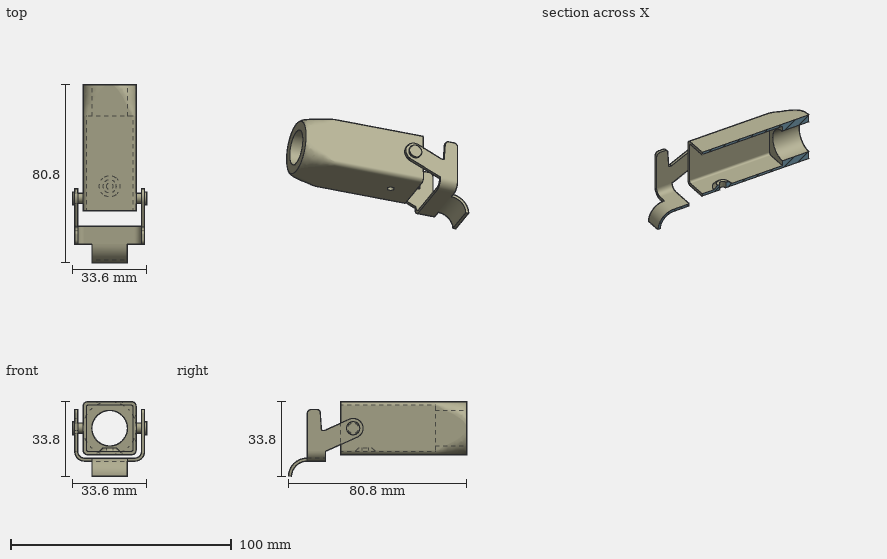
import cadquery as cq
import math

housing_length = 57.1
housing_side = 24.1
housing_corner_radius = 2.1
wall = 1.45
cavity_corner_radius = 1.1
taper_length = 14.2
cable_hole_diameter = 16.0
end_flat = 0.1
ridge_height = 0.8
taper_steps = 6

boss_distance = 11.15
boss_base_diameter = 9.5
boss_top_diameter = 6.0
boss_height = 1.7
screw_hole_diameter = 3.1

pin_distance = 5.65
pin_diameter = 4.8
pin_head_diameter = 6.0
pin_span = 33.6

sheet = 1.45
lever_width = 31.7
lever_bottom = -14.95
bend_inner_radius = 3.0
lever_front = -15.2
bridge_length = 8.3
eye_radius = 4.45
arm_underside_end = -10.5
notch_floor = -1.0
notch_corner = -8.65
notch_rear = -7.3
notch_radius = 0.5
finger_top = 8.6
finger_top_rear = -9.3
finger_front_radius = 2.0
finger_rear_radius = 1.6
hook_width = 16.0
hook_reach = 8.5
hook_sweep = 88

housing_half = housing_side / 2
widest_flat = housing_half - housing_corner_radius
taper_start = housing_length - taper_length
lever_half = lever_width / 2
bridge_rear = lever_front + bridge_length
bridge_top = lever_bottom + sheet
hook_outer_radius = hook_reach / math.sin(math.radians(hook_sweep))


def y_plane(y):
    """Plane facing +Y at the given Y, with local x = -X and local y = Z."""
    return cq.Plane(origin=(0, y, 0), xDir=(-1, 0, 0), normal=(0, 1, 0))


def x_cylinder(diameter, x_start, length):
    """Cylinder along X on the pivot axis."""
    plane = cq.Plane(origin=(x_start, pin_distance, 0), xDir=(0, 1, 0), normal=(1, 0, 0))
    return cq.Workplane(plane).circle(diameter / 2).extrude(length)


def square_bar(side, corner_radius, length):
    """Rounded square bar from the mouth towards +Y."""
    bar = cq.Workplane(y_plane(0)).rect(side, side).extrude(length)
    return bar.edges("|Y").fillet(corner_radius)


def quarter_turned(u, v, turns):
    """Point (u, v) turned clockwise about the origin by a number of quarter turns."""
    for _ in range(turns):
        u, v = v, -u
    return (u, v)


def taper_section(flat):
    """Rounded square with flats of the given half width, placed where the taper has that width."""
    widening = math.hypot(housing_half, flat) - math.hypot(housing_half, end_flat)
    full_widening = math.hypot(housing_half, widest_flat) - math.hypot(housing_half, end_flat)
    y = housing_length - taper_length * widening / full_widening

    arc_middle = flat + (housing_half - flat) * math.sqrt(0.5)
    outline = cq.Workplane(y_plane(y)).moveTo(flat, housing_half)
    for turns in range(4):
        outline = outline.threePointArc(
            quarter_turned(arc_middle, arc_middle, turns),
            quarter_turned(housing_half, flat, turns),
        )
        outline = outline.lineTo(*quarter_turned(housing_half + ridge_height, 0, turns))
        if turns < 3:
            outline = outline.lineTo(*quarter_turned(housing_half, -flat, turns))
    return outline.close().val()


def taper():
    """Rear end whose corners grow until the square has become a circle."""
    flat_step = (widest_flat - end_flat) / taper_steps
    sections = [taper_section(widest_flat - step * flat_step) for step in range(taper_steps + 1)]
    envelope = cq.Workplane(cq.Solid.makeLoft(sections))
    return envelope.intersect(square_bar(housing_side, housing_corner_radius, housing_length))


def screw_boss():
    """Cone-shaped boss standing on the cavity floor."""
    floor = cq.Workplane("XY", origin=(0, boss_distance, wall - housing_half))
    return (
        floor.circle(boss_base_diameter / 2)
        .workplane(offset=boss_height)
        .circle(boss_top_diameter / 2)
        .loft()
    )


def make_housing():
    """Housing with its cavity, cable hole, screw boss and both pivot pins."""
    body = square_bar(housing_side, housing_corner_radius, taper_start).union(taper())
    body = body.cut(square_bar(housing_side - 2 * wall, cavity_corner_radius, taper_start))
    body = body.cut(cq.Workplane(y_plane(0)).circle(cable_hole_diameter / 2).extrude(housing_length))
    body = body.union(screw_boss())
    screw_hole = cq.Workplane("XY", origin=(0, boss_distance, -housing_half))
    body = body.cut(screw_hole.circle(screw_hole_diameter / 2).extrude(wall + boss_height))
    shank_length = lever_half - housing_half + wall / 2
    head_length = pin_span / 2 - lever_half
    for side in (-1, 1):
        body = body.union(x_cylinder(pin_diameter, side * lever_half, -side * shank_length))
        body = body.union(x_cylinder(pin_head_diameter, side * lever_half, side * head_length))
    return body


def eye_tangent(y, z, side):
    """Point where the tangent from (y, z) touches the eye; side picks the upper (1) or lower (-1) one."""
    distance = math.hypot(y - pin_distance, z)
    angle = math.atan2(z, y - pin_distance) - side * math.acos(eye_radius / distance)
    return (pin_distance + eye_radius * math.cos(angle), eye_radius * math.sin(angle))


def lever_side_shape():
    """Side outline of the lever, drawn in Y and Z and as wide as the lever."""
    profile = (
        cq.Workplane("YZ", origin=(-lever_half, 0, 0))
        .moveTo(lever_front, lever_bottom)
        .lineTo(lever_front, finger_top)
        .lineTo(finger_top_rear, finger_top)
        .lineTo(notch_corner, notch_floor)
        .lineTo(notch_rear, notch_floor)
        .lineTo(*eye_tangent(notch_rear, notch_floor, 1))
        .threePointArc(
            (pin_distance + eye_radius, 0),
            eye_tangent(bridge_rear, arm_underside_end, -1),
        )
        .lineTo(bridge_rear, arm_underside_end)
        .lineTo(bridge_rear, lever_bottom)
        .close()
        .extrude(lever_width)
    )
    corners = (
        (lever_front, finger_top, finger_front_radius),
        (finger_top_rear, finger_top, finger_rear_radius),
        (notch_corner, notch_floor, notch_radius),
    )
    for y, z, radius in corners:
        corner = cq.selectors.NearestToPointSelector((0, y, z))
        profile = profile.edges("|X").edges(corner).fillet(radius)
    return profile


def bent_sheet():
    """U-shaped sheet, open at the top, long enough for the whole lever."""
    length = pin_distance + eye_radius - lever_front
    height = finger_top - lever_bottom

    def bar(inset, bend_radius):
        block = cq.Workplane("XY", origin=(0, lever_front, lever_bottom + inset)).box(
            lever_width - 2 * inset, length, height, centered=(True, False, False)
        )
        return block.edges("|Y and <Z").fillet(bend_radius)

    return bar(0, bend_inner_radius + sheet).cut(bar(sheet, bend_inner_radius))


def hook():
    """Curled tongue at the front of the bridge."""
    hook_inner_radius = hook_outer_radius - sheet
    center_z = bridge_top - hook_outer_radius

    def arc_point(radius, degrees):
        angle = math.radians(degrees)
        return (lever_front - radius * math.sin(angle), center_z + radius * math.cos(angle))

    return (
        cq.Workplane("YZ", origin=(-hook_width / 2, 0, 0))
        .moveTo(*arc_point(hook_outer_radius, 0))
        .threePointArc(arc_point(hook_outer_radius, hook_sweep / 2), arc_point(hook_outer_radius, hook_sweep))
        .lineTo(*arc_point(hook_inner_radius, hook_sweep))
        .threePointArc(arc_point(hook_inner_radius, hook_sweep / 2), arc_point(hook_inner_radius, 0))
        .close()
        .extrude(hook_width)
    )


def make_lever():
    """Locking lever with its pin holes and hook."""
    pin_holes = x_cylinder(pin_diameter, -lever_half, lever_width)
    return bent_sheet().intersect(lever_side_shape()).cut(pin_holes).union(hook())


housing = make_housing()
lever = make_lever()
result = cq.Compound.makeCompound([housing.val(), lever.val()])